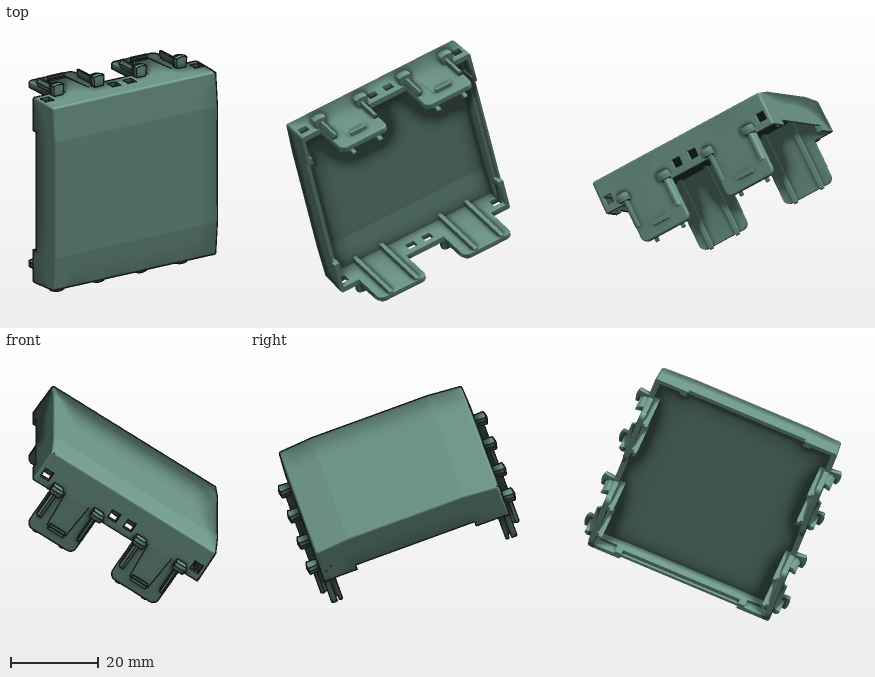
import cadquery as cq

TILT_ABOUT_Y = 33.4
TILT_ABOUT_X = 20.0

WIDTH = 44.8
HALF_WIDTH = WIDTH / 2
HALF_LENGTH = 22.4
HALF_WIDTH_FRONT = 22.3
HALF_LENGTH_FRONT = 22.05
FLAT_HALF_LENGTH = 14.0
FRONT_HEIGHT = 7.45
EDGE_HEIGHT = 6.7
SKIRT_DEPTH = 1.25
EDGE_RADIUS = 0.55
FRONT_EDGE_RADIUS = 0.5
WALL = 1.3
FRONT_WALL = 1.5
INNER_HALF_WIDTH = HALF_WIDTH - WALL
INNER_HALF_LENGTH = HALF_LENGTH - WALL

GAP_HALF_LENGTH = 14.4
REBATE_DEPTH = 0.75
REBATE_HEIGHT = 1.1
RECESS_DEPTH = 0.5
RECESS_START = 16.05
RECESS_HEIGHT = 2.5

WINDOW_SIZE = 2.2
WINDOW_BASE = 0.32
WINDOW_POSITIONS = (2.1, 20.35)

CLIP_POSITION = 11.25
PLATE_HALF_WIDTH = 6.25
PLATE_OUTER = HALF_LENGTH
PLATE_INNER = INNER_HALF_LENGTH
PLATE_BOTTOM = -11.45
PLATE_CORNER_RADIUS = 1.5
PLATE_EDGE_RADIUS = 0.4

LEG_OFFSET = 3.5
LEG_THICKNESS = 0.9
LEG_INNER = 19.75
LEG_SHOULDER = -10.95
PRONG_THICKNESS = 0.8
PRONG_BOTTOM = -12.2

RIB_INSET = 0.2
RIB_WIDTH = 1.1
RIB_OUTER = 23.97
RIB_BOTTOM = -7.65
RIB_END_RISE = 0.6
RIB_END_FLAT = 0.5
RIB_CHAMFER_WIDTH = 0.55
RIB_CHAMFER_DEPTH = 0.8

HEAD_OUTER_WIDTH = 3.1
HEAD_ROOT_WIDTH = 2.5
HEAD_ROOT = INNER_HALF_LENGTH + WALL / 2
HEAD_CORNER = 24.8
HEAD_CROWN = 25.15
HEAD_TOP = 0.75
HEAD_BOTTOM = -1.05
HEAD_PARTING = -0.15
HEAD_DRAFT = 10

TONGUE_TOP_HALF_WIDTH = 3.2
TONGUE_BOTTOM_HALF_WIDTH = 2.5
TONGUE_BOTTOM = -8.6
TONGUE_RISE = 0.15
CATCH_HALF_WIDTH = 2.05
CATCH_OUTER = 23.4
CATCH_STEP_OUTER = 22.9
CATCH_TOP = -7.9
CATCH_STEP = -8.45
CATCH_BOTTOM = -9.05


def block(x_range, y_range, z_range):
    """Box spanning the given ranges."""
    size = [high - low for low, high in (x_range, y_range, z_range)]
    corner = (x_range[0], y_range[0], z_range[0])
    return cq.Workplane("XY").box(*size, centered=False).translate(corner)


def both_signs(values):
    return [sign * value for value in values for sign in (-1, 1)]


def crowned_prism(bottom, half_length, end_height, flat_height, half_width):
    """Prism along X with a flat front face and a shallow slope at each end of it."""
    outline = [
        (-half_length, bottom),
        (half_length, bottom),
        (half_length, end_height),
        (FLAT_HALF_LENGTH, flat_height),
        (-FLAT_HALF_LENGTH, flat_height),
        (-half_length, end_height),
    ]
    return cq.Workplane("YZ").polyline(outline).close().extrude(half_width, both=True)


def rounded_outline(half_width, half_length):
    """Cover outline in plan, with its upright edges rounded."""
    plan = cq.Sketch().rect(2 * half_width, 2 * half_length)
    return plan.vertices().fillet(EDGE_RADIUS)


def cover_shell():
    """Cover leaning in above the rim line, a straight skirt below it, and the hollow inside."""
    rim_outline = rounded_outline(HALF_WIDTH, HALF_LENGTH)
    front_outline = rounded_outline(HALF_WIDTH_FRONT, HALF_LENGTH_FRONT)
    upper = cq.Workplane("XY").placeSketch(
        rim_outline, front_outline.moved(cq.Location(cq.Vector(0, 0, FRONT_HEIGHT)))
    ).loft()
    slope = (FRONT_HEIGHT - EDGE_HEIGHT) / (HALF_LENGTH_FRONT - FLAT_HALF_LENGTH)
    rim_end_height = EDGE_HEIGHT - slope * (HALF_LENGTH - HALF_LENGTH_FRONT)
    crown = crowned_prism(0, HALF_LENGTH, rim_end_height, FRONT_HEIGHT, HALF_WIDTH)
    upper = upper.intersect(crown)
    front_edges = cq.selectors.BoxSelector(
        (-HALF_WIDTH, -HALF_LENGTH, EDGE_HEIGHT - EDGE_RADIUS),
        (HALF_WIDTH, HALF_LENGTH, FRONT_HEIGHT + EDGE_RADIUS),
    )
    crown_lines = cq.selectors.BoxSelector(
        (-EDGE_RADIUS, -FLAT_HALF_LENGTH - EDGE_RADIUS, EDGE_HEIGHT),
        (EDGE_RADIUS, FLAT_HALF_LENGTH + EDGE_RADIUS, FRONT_HEIGHT + EDGE_RADIUS),
    )
    upper = upper.edges(front_edges - crown_lines).fillet(FRONT_EDGE_RADIUS)
    skirt = cq.Workplane("XY").placeSketch(rim_outline).extrude(-SKIRT_DEPTH)
    cavity = crowned_prism(
        -SKIRT_DEPTH,
        INNER_HALF_LENGTH,
        EDGE_HEIGHT - FRONT_WALL,
        FRONT_HEIGHT - FRONT_WALL,
        INNER_HALF_WIDTH,
    )
    return upper.union(skirt).cut(cavity)


def side_gap():
    """Middle gap through the skirt of both plain sides, with the rebate inside it."""
    span = (-GAP_HALF_LENGTH, GAP_HALF_LENGTH)
    rebate_half_width = INNER_HALF_WIDTH + REBATE_DEPTH
    gap = block((-HALF_WIDTH - 1, HALF_WIDTH + 1), span, (-SKIRT_DEPTH, 0))
    rebate = block((-rebate_half_width, rebate_half_width), span, (-SKIRT_DEPTH, REBATE_HEIGHT))
    return gap.union(rebate)


def corner_recesses():
    """Shallow recesses inside the plain sides, from the skirt edge up, in each corner."""
    half_width = INNER_HALF_WIDTH + RECESS_DEPTH
    recess = block(
        (-half_width, half_width),
        (RECESS_START, INNER_HALF_LENGTH),
        (-SKIRT_DEPTH, RECESS_HEIGHT),
    )
    return recess.union(recess.mirror("XZ"))


def windows():
    """Square windows through both clip sides."""
    cutter = cq.Workplane("XY")
    for x in both_signs(WINDOW_POSITIONS):
        window = block(
            (x - WINDOW_SIZE / 2, x + WINDOW_SIZE / 2),
            (INNER_HALF_LENGTH, HALF_LENGTH),
            (WINDOW_BASE, WINDOW_BASE + WINDOW_SIZE),
        )
        cutter = cutter.union(window).union(window.mirror("XZ"))
    return cutter


def clip_plate():
    """Plate with round lower corners and a rounded outer rim, running up into the skirt."""
    plate = block(
        (-PLATE_HALF_WIDTH, PLATE_HALF_WIDTH),
        (-PLATE_OUTER, -PLATE_INNER),
        (PLATE_BOTTOM, 0),
    )
    plate = plate.edges("|Y and <Z").fillet(PLATE_CORNER_RADIUS)
    skirt_line = cq.selectors.StringSyntaxSelector(">Z")
    outer_rim = cq.selectors.StringSyntaxSelector("<Y")
    return plate.edges(outer_rim - skirt_line).fillet(PLATE_EDGE_RADIUS)


def clip_leg(x):
    """Leg behind the plate, rooted in the front wall and ending in a round-tipped prong."""
    top = EDGE_HEIGHT - FRONT_WALL / 2
    prong_outer = LEG_INNER + PRONG_THICKNESS
    profile = (
        cq.Workplane("YZ")
        .moveTo(-PLATE_INNER, top)
        .lineTo(-PLATE_INNER, LEG_SHOULDER)
        .lineTo(-prong_outer, LEG_SHOULDER)
        .lineTo(-prong_outer, PRONG_BOTTOM + PRONG_THICKNESS / 2)
        .threePointArc(
            (-LEG_INNER - PRONG_THICKNESS / 2, PRONG_BOTTOM),
            (-LEG_INNER, PRONG_BOTTOM + PRONG_THICKNESS / 2),
        )
        .lineTo(-LEG_INNER, top)
        .close()
    )
    return profile.extrude(LEG_THICKNESS / 2, both=True).translate((x, 0, 0))


def clip_rib():
    """Rib near the left edge of the plate, chamfered along its free corner."""
    left = -PLATE_HALF_WIDTH + RIB_INSET
    right = left + RIB_WIDTH
    bar = (
        cq.Workplane("XY")
        .workplane(offset=RIB_BOTTOM)
        .moveTo(left, -HEAD_ROOT)
        .lineTo(left, -RIB_OUTER + RIB_CHAMFER_DEPTH)
        .lineTo(left + RIB_CHAMFER_WIDTH, -RIB_OUTER)
        .lineTo(right, -RIB_OUTER)
        .lineTo(right, -HEAD_ROOT)
        .close()
        .extrude(HEAD_PARTING - RIB_BOTTOM)
    )
    end_relief = (
        cq.Workplane("YZ")
        .polyline(
            [
                (-RIB_OUTER + RIB_END_FLAT, RIB_BOTTOM),
                (-HEAD_ROOT, RIB_BOTTOM),
                (-HEAD_ROOT, RIB_BOTTOM + RIB_END_RISE),
                (-PLATE_OUTER, RIB_BOTTOM + RIB_END_RISE),
            ]
        )
        .close()
        .extrude(PLATE_HALF_WIDTH, both=True)
    )
    return bar.cut(end_relief)


def clip_head():
    """Dovetail head over the left rib, with a bowed end and draft above and below its middle."""
    root_half = HEAD_ROOT_WIDTH / 2
    outer_half = HEAD_OUTER_WIDTH / 2

    def half(height):
        return (
            cq.Workplane("XY")
            .moveTo(-root_half, -HEAD_ROOT)
            .lineTo(-outer_half, -HEAD_CORNER)
            .threePointArc((0, -HEAD_CROWN), (outer_half, -HEAD_CORNER))
            .lineTo(root_half, -HEAD_ROOT)
            .close()
            .extrude(height, taper=HEAD_DRAFT)
        )

    upper = half(HEAD_TOP - HEAD_PARTING)
    lower = half(HEAD_PARTING - HEAD_BOTTOM).mirror("XY")
    rib_centre = -PLATE_HALF_WIDTH + RIB_INSET + RIB_WIDTH / 2
    return upper.union(lower).translate((rib_centre, 0, HEAD_PARTING))


def clip_tongue():
    """Tapered tongue on the plate, rising gently outwards towards its lower end."""
    outline = (
        cq.Workplane("XZ", origin=(0, -PLATE_INNER, 0))
        .polyline(
            [
                (-TONGUE_TOP_HALF_WIDTH, 0),
                (TONGUE_TOP_HALF_WIDTH, 0),
                (TONGUE_BOTTOM_HALF_WIDTH, TONGUE_BOTTOM),
                (-TONGUE_BOTTOM_HALF_WIDTH, TONGUE_BOTTOM),
            ]
        )
        .close()
        .extrude(WALL + TONGUE_RISE)
    )
    wedge = (
        cq.Workplane("YZ")
        .polyline(
            [
                (-PLATE_INNER, 0),
                (-PLATE_OUTER, 0),
                (-PLATE_OUTER - TONGUE_RISE, TONGUE_BOTTOM),
                (-PLATE_INNER, TONGUE_BOTTOM),
            ]
        )
        .close()
        .extrude(TONGUE_TOP_HALF_WIDTH, both=True)
    )
    return outline.intersect(wedge)


def clip_catch():
    """Two-step catch at the end of the tongue."""
    return (
        cq.Workplane("YZ")
        .polyline(
            [
                (-PLATE_INNER, CATCH_TOP),
                (-CATCH_STEP_OUTER, CATCH_TOP),
                (-CATCH_STEP_OUTER, CATCH_STEP),
                (-CATCH_OUTER, CATCH_STEP),
                (-CATCH_OUTER, CATCH_BOTTOM),
                (-PLATE_INNER, CATCH_BOTTOM),
            ]
        )
        .close()
        .extrude(CATCH_HALF_WIDTH, both=True)
    )


def clip():
    """One clip on the -Y side, centred on X = 0."""
    edge = clip_rib().union(clip_head())
    body = clip_plate().union(edge).union(edge.mirror("YZ"))
    for x in both_signs([LEG_OFFSET]):
        body = body.union(clip_leg(x))
    return body.union(clip_tongue()).union(clip_catch())


def build():
    body = cover_shell().cut(side_gap()).cut(corner_recesses())
    single = clip()
    for x in both_signs([CLIP_POSITION]):
        placed = single.translate((x, 0, 0))
        body = body.union(placed).union(placed.mirror("XZ"))
    body = body.cut(windows())
    tilted = body.rotate((0, 0, 0), (0, 1, 0), TILT_ABOUT_Y)
    return tilted.rotate((0, 0, 0), (1, 0, 0), TILT_ABOUT_X)


result = build()